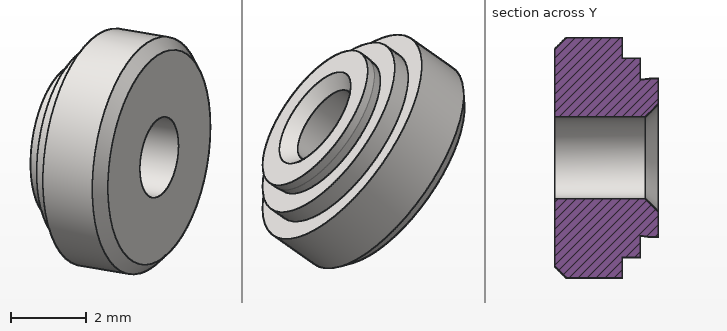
import cadquery as cq

flange_diameter = 6.35
flange_width = 1.785
rim_chamfer = 0.305

shoulder_diameter = 5.27
shoulder_width = 0.475

lip_diameter = 4.19
lip_width = 0.23
neck_diameter = 4.13
neck_width = 0.25

bore_diameter = 2.16
countersink_diameter = 2.845

neck_start = lip_width
shoulder_start = neck_start + neck_width
flange_start = shoulder_start + shoulder_width
total_length = flange_start + flange_width

flange_radius = flange_diameter / 2
shoulder_radius = shoulder_diameter / 2
lip_radius = lip_diameter / 2
neck_radius = neck_diameter / 2
bore_radius = bore_diameter / 2
countersink_radius = countersink_diameter / 2
countersink_depth = countersink_radius - bore_radius

half_section = (
    cq.Workplane("XY")
    .moveTo(0, countersink_radius)
    .lineTo(0, lip_radius)
    .lineTo(neck_start, lip_radius)
    .lineTo(shoulder_start, neck_radius)
    .lineTo(shoulder_start, shoulder_radius)
    .lineTo(flange_start, shoulder_radius)
    .lineTo(flange_start, flange_radius)
    .lineTo(total_length - rim_chamfer, flange_radius)
    .lineTo(total_length, flange_radius - rim_chamfer)
    .lineTo(total_length, bore_radius)
    .lineTo(countersink_depth, bore_radius)
    .close()
)

result = half_section.revolve(360, (0, 0, 0), (1, 0, 0))